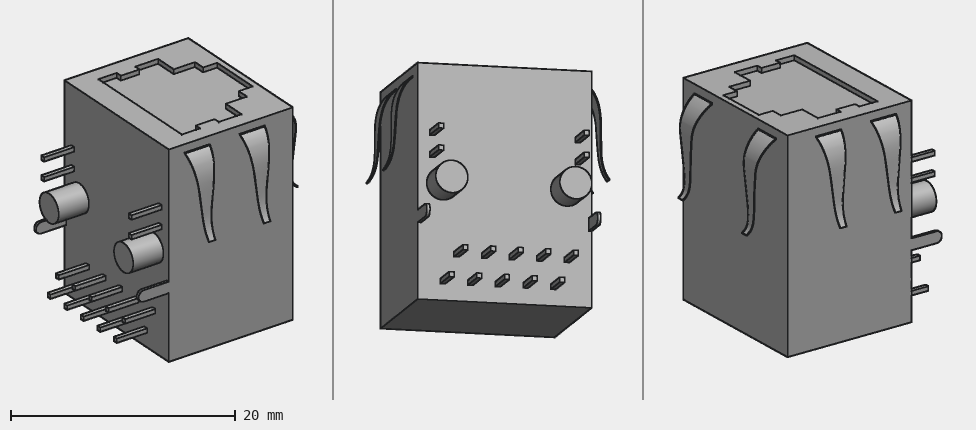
import cadquery as cq


BODY_WIDTH = 16.0
BODY_DEPTH = 13.59
BODY_HEIGHT = 21.5
LEG_LENGTH = 3.31

OPENING_DEPTH = 0.5
LATCH_HALF_WIDTH = 2.73
SHOULDER_HALF_WIDTH = 3.98
PLUG_HALF_WIDTH = 6.39
RIB_HALF_GAP = 5.75
LATCH_LEVEL = 0.62
SHOULDER_LEVEL = 2.15
PLUG_TOP_LEVEL = 4.47
RIB_TOP_LEVEL = 6.97
RIB_BOTTOM_LEVEL = 9.0
PLUG_BOTTOM_LEVEL = 11.0

PIN_SIZE = 0.45
CONTACT_PITCH = 1.27
CONTACTS_PER_ROW = 5
UPPER_ROW_Z = 4.24
LOWER_ROW_Z = 1.72
LED_PIN_X = 6.69
LED_PIN_HEIGHTS = (13.18, 15.18)

PEG_DIAMETER = 2.95
PEG_X = 5.7
PEG_Z = 10.6
TAB_THICKNESS = 0.3
TAB_WIDTH = 1.16
TAB_Z = 7.55

SPRING_THICKNESS = 0.1
SPRING_ROOT_HALF_WIDTH = 1.4
SPRING_MID_HALF_WIDTH = 0.69
SPRING_TIP_HALF_WIDTH = 0.35
SPRING_ROOT_DROP = 0.8
SPRING_CLEARANCE = 0.22
SIDE_SPRING_LEVELS = (4.47, 10.5)
BACK_SPRING_X = 4.88

SIDE_SPRING_CURVE = [
    (-0.17, 0.8), (0.73, 1.72), (1.27, 3.15), (1.42, 4.73), (1.48, 6.66), (1.75, 8.17), (2.3, 9.22),
]
BACK_SPRING_CURVE = [
    (-0.17, 0.85), (1.1, 1.85), (1.76, 2.99), (1.91, 4.73), (1.8, 6.88), (1.76, 8.38), (1.98, 9.52), (2.52, 10.05),
]


def make_housing():
    return cq.Workplane("XY").box(BODY_WIDTH, BODY_DEPTH, BODY_HEIGHT, centered=(True, False, False))


def make_opening():
    """Stepped plug opening: half of its outline, mirrored about X = 0."""
    half_outline = [
        (0, LATCH_LEVEL),
        (LATCH_HALF_WIDTH, LATCH_LEVEL),
        (LATCH_HALF_WIDTH, SHOULDER_LEVEL),
        (SHOULDER_HALF_WIDTH, SHOULDER_LEVEL),
        (SHOULDER_HALF_WIDTH, PLUG_TOP_LEVEL),
        (PLUG_HALF_WIDTH, PLUG_TOP_LEVEL),
        (PLUG_HALF_WIDTH, RIB_TOP_LEVEL),
        (RIB_HALF_GAP, RIB_TOP_LEVEL),
        (RIB_HALF_GAP, RIB_BOTTOM_LEVEL),
        (PLUG_HALF_WIDTH, RIB_BOTTOM_LEVEL),
        (PLUG_HALF_WIDTH, PLUG_BOTTOM_LEVEL),
        (0, PLUG_BOTTOM_LEVEL),
    ]
    points = [(x, BODY_DEPTH - level) for x, level in half_outline]
    return (
        cq.Workplane("XY", origin=(0, 0, BODY_HEIGHT))
        .polyline(points)
        .mirrorY()
        .extrude(-OPENING_DEPTH)
    )


def pin_positions():
    positions = []
    for index in range(CONTACTS_PER_ROW):
        row_x = (2 * index - (CONTACTS_PER_ROW - 1)) * CONTACT_PITCH
        positions.append((row_x + CONTACT_PITCH / 2, UPPER_ROW_Z))
        positions.append((row_x - CONTACT_PITCH / 2, LOWER_ROW_Z))
    for z in LED_PIN_HEIGHTS:
        positions += [(-LED_PIN_X, z), (LED_PIN_X, z)]
    return positions


def make_pins():
    return cq.Workplane("XZ").pushPoints(pin_positions()).rect(PIN_SIZE, PIN_SIZE).extrude(LEG_LENGTH)


def make_pegs():
    centres = [(-PEG_X, PEG_Z), (PEG_X, PEG_Z)]
    return cq.Workplane("XZ").pushPoints(centres).circle(PEG_DIAMETER / 2).extrude(LEG_LENGTH)


def make_ground_tab():
    """Round-ended tab on the -X wall."""
    radius = TAB_WIDTH / 2
    return (
        cq.Workplane("YZ", origin=(-BODY_WIDTH / 2, 0, TAB_Z))
        .moveTo(0, radius)
        .lineTo(radius - LEG_LENGTH, radius)
        .threePointArc((-LEG_LENGTH, 0), (radius - LEG_LENGTH, -radius))
        .lineTo(0, -radius)
        .close()
        .extrude(TAB_THICKNESS)
    )


def make_spring(curve):
    """Spring leaning toward -X from a wall at X = 0, with Z = 0 at the front end."""
    reach, tip_drop = curve[-1]
    centreline = cq.Workplane("XZ").spline([(-out, -drop) for out, drop in curve])
    start_plane = cq.Plane(
        origin=centreline.val().startPoint(),
        xDir=(0, 1, 0),
        normal=centreline.val().tangentAt(0),
    )
    strip = (
        cq.Workplane(start_plane)
        .rect(2 * SPRING_ROOT_HALF_WIDTH, SPRING_THICKNESS)
        .sweep(centreline)
    )
    mid_drop = (SPRING_ROOT_DROP + tip_drop) / 2
    taper = (
        cq.Workplane("YZ", origin=(SPRING_CLEARANCE, 0, 0))
        .moveTo(-SPRING_ROOT_HALF_WIDTH, 0)
        .lineTo(-SPRING_ROOT_HALF_WIDTH, -SPRING_ROOT_DROP)
        .threePointArc((-SPRING_MID_HALF_WIDTH, -mid_drop), (-SPRING_TIP_HALF_WIDTH, -tip_drop))
        .lineTo(-SPRING_TIP_HALF_WIDTH, -tip_drop - SPRING_THICKNESS)
        .lineTo(SPRING_TIP_HALF_WIDTH, -tip_drop - SPRING_THICKNESS)
        .lineTo(SPRING_TIP_HALF_WIDTH, -tip_drop)
        .threePointArc((SPRING_MID_HALF_WIDTH, -mid_drop), (SPRING_ROOT_HALF_WIDTH, -SPRING_ROOT_DROP))
        .lineTo(SPRING_ROOT_HALF_WIDTH, 0)
        .close()
        .extrude(-(reach + 2 * SPRING_CLEARANCE))
    )
    return strip.intersect(taper)


result = make_housing().cut(make_opening()).union(make_pins()).union(make_pegs())

ground_tab = make_ground_tab()
result = result.union(ground_tab).union(ground_tab.mirror("YZ"))

side_spring = make_spring(SIDE_SPRING_CURVE)
for level in SIDE_SPRING_LEVELS:
    placed = side_spring.translate((-BODY_WIDTH / 2, BODY_DEPTH - level, BODY_HEIGHT))
    result = result.union(placed).union(placed.mirror("YZ"))

back_spring = make_spring(BACK_SPRING_CURVE).rotate((0, 0, 0), (0, 0, 1), -90)
for x in (-BACK_SPRING_X, BACK_SPRING_X):
    result = result.union(back_spring.translate((x, BODY_DEPTH, BODY_HEIGHT)))